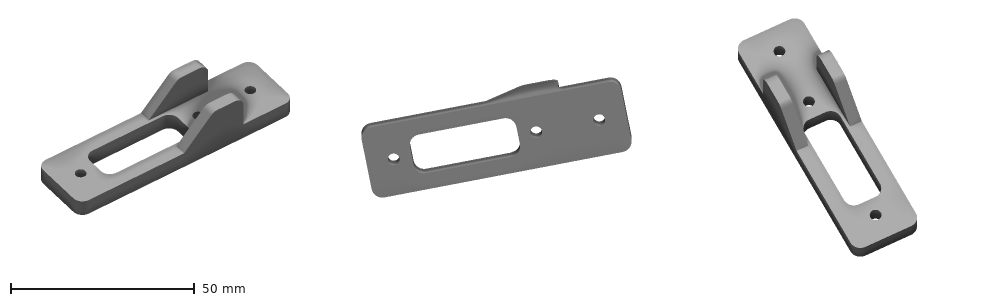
import cadquery as cq

plate_width = 20.0
plate_length = 72.0
plate_thickness = 5.0
corner_radius = 3.0

hole_diameter = 3.2
hole_positions_y = (-28.5, 11.0, 28.5)

window_width = 11.0
window_length = 29.5
window_back_y = 6.0
window_center_y = window_back_y - window_length / 2

ear_thickness = 3.6
ear_height = 10.0
ear_length = 20.0
ear_back_y = 19.0
ear_front_y = ear_back_y - ear_length
ear_slope_run = ear_height
ear_top_z = plate_thickness + ear_height


def make_plate():
    """Flat plate with rounded vertical corners."""
    plate = cq.Workplane("XY").box(
        plate_width, plate_length, plate_thickness, centered=(True, True, False)
    )
    return plate.edges("|Z").fillet(corner_radius)


def make_ear(left_x):
    """Upright ear with a sloped front edge and two rounded top corners."""
    ear = (
        cq.Workplane("YZ", origin=(left_x, 0, 0))
        .moveTo(ear_back_y, plate_thickness)
        .lineTo(ear_back_y, ear_top_z)
        .lineTo(ear_front_y + ear_slope_run, ear_top_z)
        .lineTo(ear_front_y, plate_thickness)
        .close()
        .extrude(ear_thickness)
    )
    return ear.faces(">Z").edges("|X").fillet(corner_radius)


def make_window():
    """Cutter for the rounded window."""
    window = cq.Workplane("XY").box(
        window_width, window_length, plate_thickness, centered=(True, True, False)
    )
    return window.edges("|Z").fillet(corner_radius).translate((0, window_center_y, 0))


def make_screw_holes():
    """Cutter for the through holes."""
    return (
        cq.Workplane("XY")
        .pushPoints([(0, y) for y in hole_positions_y])
        .circle(hole_diameter / 2)
        .extrude(plate_thickness)
    )


result = make_plate()
for ear_left_x in (-plate_width / 2, plate_width / 2 - ear_thickness):
    result = result.union(make_ear(ear_left_x))
result = result.cut(make_window()).cut(make_screw_holes())